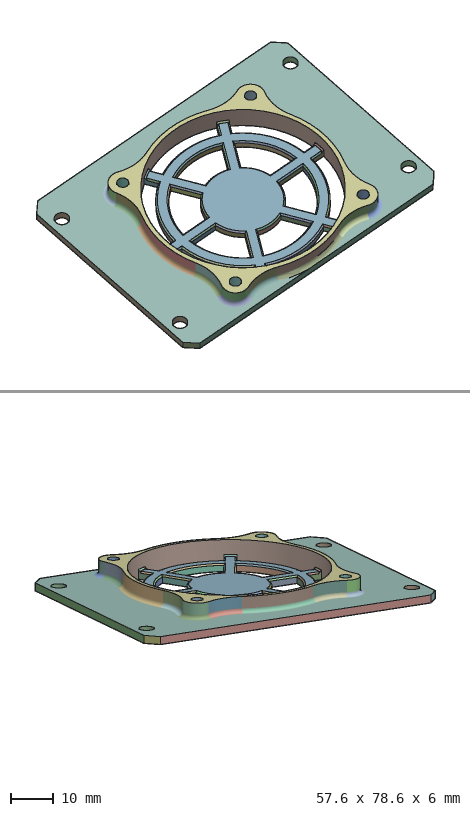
import cadquery as cq
import math

plate_width = 57.6
plate_length = 78.6
plate_thickness = 2.0
corner_chamfer = 2.8
plate_hole_diameter = 3.6
plate_hole_pitch_x = 42.0
plate_hole_pitch_y = 71.5

total_height = 6.0
fan_offset_x = 2.75
bore_diameter = 48.0
rim_radius = 25.15
fan_hole_diameter = 2.8
fan_hole_pitch = 40.0
lobe_radius = 3.45
waist_radius = 11.95
rim_foot_fillet = 1.0

hub_radius = 10.0
ring_inner_radius = 17.45
ring_outer_radius = 20.5
spoke_width = 3.0
spoke_count = 6
grille_chamfer = 0.4

bore_radius = bore_diameter / 2
fan_center = (fan_offset_x, 0)


def polar(radius, angle):
    """Point at a radius and an angle in degrees about the origin."""
    return (radius * math.cos(math.radians(angle)), radius * math.sin(math.radians(angle)))


def offset_point(start, radius, angle):
    """Point at a radius and an angle in degrees about a start point."""
    dx, dy = polar(radius, angle)
    return (start[0] + dx, start[1] + dy)


def make_plate_blank(thickness):
    """Rectangular block with chamfered vertical corners."""
    return (
        cq.Workplane("XY")
        .rect(plate_width, plate_length)
        .extrude(thickness)
        .edges("|Z")
        .chamfer(corner_chamfer)
    )


def make_rim():
    """Round rim with four corner lobes, blended by concave waists tangent to both."""
    lobe_distance = fan_hole_pitch / math.sqrt(2)
    waist_distance = rim_radius + waist_radius
    lobe_to_waist = lobe_radius + waist_radius

    waist_angle = math.degrees(math.acos(
        (lobe_distance**2 + waist_distance**2 - lobe_to_waist**2)
        / (2 * lobe_distance * waist_distance)
    ))
    lobe_tangent_angle = math.degrees(math.acos(
        (waist_distance**2 - lobe_distance**2 - lobe_to_waist**2)
        / (2 * lobe_distance * lobe_to_waist)
    ))

    lobe_spacing = 90
    first_lobe_angle = lobe_spacing / 2
    outline = cq.Workplane("XY").moveTo(*polar(rim_radius, first_lobe_angle - waist_angle))
    for index in range(4):
        lobe_angle = first_lobe_angle + index * lobe_spacing
        lobe_center = polar(lobe_distance, lobe_angle)
        lobe_start = offset_point(lobe_center, lobe_radius, lobe_angle - lobe_tangent_angle)
        lobe_tip = offset_point(lobe_center, lobe_radius, lobe_angle)
        lobe_end = offset_point(lobe_center, lobe_radius, lobe_angle + lobe_tangent_angle)
        rim_start = polar(rim_radius, lobe_angle + waist_angle)
        rim_middle = polar(rim_radius, lobe_angle + lobe_spacing / 2)
        rim_end = polar(rim_radius, lobe_angle + lobe_spacing - waist_angle)
        outline = (
            outline
            .radiusArc(lobe_start, waist_radius)
            .threePointArc(lobe_tip, lobe_end)
            .radiusArc(rim_start, waist_radius)
            .threePointArc(rim_middle, rim_end)
        )
    return outline.close().extrude(total_height).translate((fan_offset_x, 0, 0))


def make_plate_with_rim():
    """Plate and rim with a foot fillet, trimmed where the fillet overhangs the plate edge."""
    wide_plate = cq.Workplane("XY").rect(2 * plate_width, plate_length).extrude(plate_thickness)
    blank = wide_plate.union(make_rim())
    plate_top = blank.faces("+Z").faces("<Z").val()
    rim_foot = plate_top.innerWires()[0]
    filleted = blank.newObject(rim_foot.Edges()).fillet(rim_foot_fillet)
    return filleted.intersect(make_plate_blank(total_height))


def make_grille():
    """Hub, ring and spokes; the spokes end inside the rim wall so that they fuse with it."""
    hub = cq.Workplane("XY").circle(hub_radius).extrude(plate_thickness)
    ring = (
        cq.Workplane("XY")
        .circle(ring_outer_radius)
        .circle(ring_inner_radius)
        .extrude(plate_thickness)
    )
    grille = hub.union(ring)
    spoke_length = (bore_radius + rim_radius) / 2
    for index in range(spoke_count):
        spoke = (
            cq.Workplane("XY")
            .rect(spoke_length, spoke_width)
            .extrude(plate_thickness)
            .translate((spoke_length / 2, 0, 0))
            .rotate((0, 0, 0), (0, 0, 1), 90 + index * 360 / spoke_count)
        )
        grille = grille.union(spoke)
    return grille.translate((fan_offset_x, 0, 0))


def grille_top_edges(body, at_bore):
    """Edges of the grille's top face: the spoke ends at the bore wall, or all the others."""
    hub_top = cq.selectors.NearestToPointSelector((fan_offset_x, 0, plate_thickness))
    bore_zone_radius = bore_radius - 1.5 * grille_chamfer

    def touches_bore(edge):
        middle = edge.positionAt(0.5)
        return math.hypot(middle.x - fan_offset_x, middle.y) > bore_zone_radius

    edges = body.faces(hub_top).edges().vals()
    return body.newObject([edge for edge in edges if touches_bore(edge) == at_bore])


def chamfer_grille(body):
    """Bevel the spoke ends up to the bore wall, then chamfer the free edges of the grille."""
    for at_bore in (True, False):
        body = grille_top_edges(body, at_bore).chamfer(grille_chamfer)
    return body


def make_hole_pins(center, pitch_x, pitch_y, diameter):
    """Four pins on a rectangular pattern, tall enough to cut through the whole part."""
    return (
        cq.Workplane("XY")
        .center(*center)
        .rect(pitch_x, pitch_y, forConstruction=True)
        .vertices()
        .circle(diameter / 2)
        .extrude(total_height)
    )


bore = cq.Workplane("XY").center(*fan_center).circle(bore_radius).extrude(total_height)
framed_plate = make_plate_with_rim().cut(bore)
guard = chamfer_grille(framed_plate.union(make_grille()))

plate_holes = make_hole_pins((0, 0), plate_hole_pitch_x, plate_hole_pitch_y, plate_hole_diameter)
fan_holes = make_hole_pins(fan_center, fan_hole_pitch, fan_hole_pitch, fan_hole_diameter)

result = guard.cut(plate_holes).cut(fan_holes)